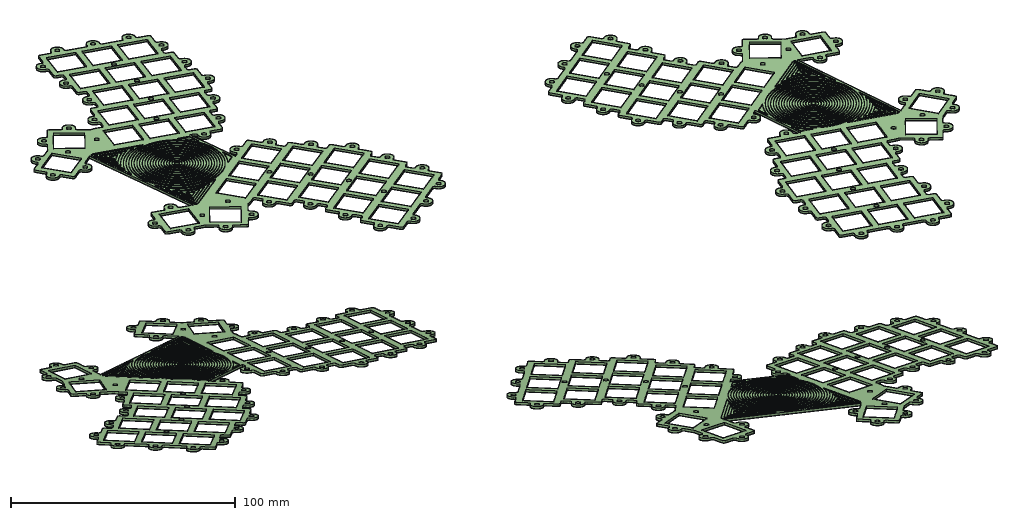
import cadquery as cq
import math

thickness = 1.2
tilt = 25.0
screw_diameter = 2.2
corner_radius = 1.0

key_hole = 14.0
key_pitch_x = 18.0
key_pitch_y = 17.0
row_count = 3
stagger = key_pitch_y / 4
column_steps = (-2, -1, 0, -1, -2)
grid_centre = (-56.96, 26.74)
rim = 1.2
frame_half_x = key_pitch_x / 2 + rim
frame_half_y = key_pitch_y / 2 + rim
column_half_y = row_count * key_pitch_y / 2 + rim

thumb_arc_centre = (-91.13, -74.68)
thumb_arc_radius = 60.0
thumb_step = 20.0
thumb_screws = [(-40.85, -22.7), (-41.85, -40.0)]

lug_radius = 3.0
lug_reach = 1.5
lug_x = frame_half_x + lug_reach
lug_y = frame_half_y + lug_reach

pad_centre = (0, -13.35)
pad_radius = 22.71
track = 1.2
groove_depth = 0.4
pad_corner_x = 33.8
ring_count = 9
corner_groove_count = 3


class Frame:
    """A place on the plate with its own axes, turned by an angle in degrees."""

    def __init__(self, centre, turn):
        self.centre = centre
        self.turn = turn

    def point(self, x, y):
        angle = math.radians(self.turn)
        return (
            self.centre[0] + x * math.cos(angle) - y * math.sin(angle),
            self.centre[1] + x * math.sin(angle) + y * math.cos(angle),
        )

    def corners(self, half_x, half_y):
        """Rectangle corners: lower left, lower right, upper right, upper left."""
        signs = [(-1, -1), (1, -1), (1, 1), (-1, 1)]
        return [self.point(sx * half_x, sy * half_y) for sx, sy in signs]


def grid_key(column, row):
    """Frame of a key; column 0 is the outermost and row 0 the top one."""
    x = (column - (len(column_steps) - 1) / 2) * key_pitch_x
    y = column_steps[column] * stagger + ((row_count - 1) / 2 - row) * key_pitch_y
    return Frame(Frame(grid_centre, -tilt).point(x, y), -tilt)


def thumb_key(number):
    turn = -tilt - number * thumb_step
    return Frame(Frame(thumb_arc_centre, turn).point(0, thumb_arc_radius), turn)


def midpoint(a, b):
    return ((a[0] + b[0]) / 2, (a[1] + b[1]) / 2)


def prism(points):
    return cq.Workplane("XY").polyline(points).close().extrude(thickness)


def discs(centres, radius):
    return cq.Workplane("XY").pushPoints(centres).circle(radius).extrude(thickness)


def both_hands(left):
    """Cutters of the left hand together with their mirror images."""
    return left.add(left.mirror("YZ"))


columns = [[grid_key(c, r) for r in range(row_count)] for c in range(len(column_steps))]
middle_row = [column[row_count // 2] for column in columns]
upper_thumb = thumb_key(1)
lower_thumb = thumb_key(2)


def lug_centres():
    above = [column[0].point(0, lug_y) for column in columns]
    below = [column[-1].point(0, -lug_y) for column in columns[:-1]]
    outside = [key.point(-lug_x, 0) for key in columns[0]]
    inside = [columns[-1][0].point(lug_x, 0)]
    upper = [upper_thumb.point(-lug_x, 0), upper_thumb.point(0, -lug_y)]
    lower = [lower_thumb.point(0, lug_y), lower_thumb.point(0, -lug_y), lower_thumb.point(lug_x, 0)]
    return above + below + outside + inside + upper + lower


def screw_centres():
    between_columns = [midpoint(a.centre, b.centre) for a, b in zip(middle_row, middle_row[1:])]
    return lug_centres() + between_columns + thumb_screws


def hand_plate():
    """Left plate: key columns, thumb keys, the web that joins them, and the lugs."""
    plate = discs(lug_centres(), lug_radius)
    for key in middle_row:
        plate = plate.union(prism(key.corners(frame_half_x, column_half_y)))
    for key in (upper_thumb, lower_thumb):
        plate = plate.union(prism(key.corners(frame_half_x, frame_half_y)))
    grid_end = columns[-1][-1].corners(frame_half_x, frame_half_y)
    upper = upper_thumb.corners(frame_half_x, frame_half_y)
    lower = lower_thumb.corners(frame_half_x, frame_half_y)
    web = [grid_end[0], grid_end[1], lower[3], lower[0], upper[0], upper[3]]
    return plate.union(prism(web))


def pad_side_distance():
    """Distance from the pad's centre to its slanted sides, which continue the innermost column's edge."""
    edge_x, edge_y = columns[-1][-1].point(frame_half_x, 0)
    lean = math.radians(tilt)
    return (pad_centre[0] - edge_x) * math.cos(lean) + (edge_y - pad_centre[1]) * math.sin(lean)


def trapezoid(inset):
    """Outline of the pad, shrunk by an inset, with the ends of its lower corners cut off."""
    lean = math.radians(tilt)
    half_height = pad_radius - inset
    middle_x = (pad_side_distance() - inset) / math.cos(lean)
    spread = half_height * math.tan(lean)
    corner_x = pad_corner_x - inset
    top = pad_centre[1] + half_height
    bottom = pad_centre[1] - half_height
    right = [(middle_x + spread, bottom), (middle_x - spread, top)]
    left = [(-x, y) for x, y in reversed(right)]
    limits = [(corner_x, bottom), (corner_x, top), (-corner_x, top), (-corner_x, bottom)]
    return prism(right + left).intersect(prism(limits))


def rounded_hand():
    """Left plate; growing its outline rounds the inner corners and shrinking it rounds the outer ones."""
    edge = hand_plate().faces("<Z").val().outerWire()
    grown = cq.Workplane("XY").add(edge).toPending().offset2D(corner_radius)
    shrunk = grown.offset2D(-2 * corner_radius)
    return shrunk.offset2D(corner_radius).extrude(thickness)


def outline():
    """Both hands and the pad between them, without openings."""
    hand = rounded_hand()
    return hand.union(hand.mirror("YZ")).union(trapezoid(0))


def key_openings():
    openings = cq.Workplane("XY")
    for key in sum(columns, [upper_thumb, lower_thumb]):
        openings = openings.add(prism(key.corners(key_hole / 2, key_hole / 2)))
    return both_hands(openings)


def corner_area(inset):
    """What the rings leave free in the corners of the pattern, shrunk by an inset."""
    return trapezoid(track + inset).cut(discs([pad_centre], pad_radius + inset))


def pad_grooves():
    """Concentric rings, and around them grooves that follow the corners of the pad."""
    grooves = cq.Workplane("XY")
    for i in range(ring_count):
        radius = pad_radius - (2 * i + 1) * track
        ring = discs([pad_centre], radius).cut(discs([pad_centre], radius - track))
        grooves = grooves.add(ring)
    for i in range(corner_groove_count):
        inset = 2 * i * track
        grooves = grooves.add(corner_area(inset).cut(corner_area(inset + track)))
    return grooves.translate((0, 0, thickness - groove_depth))


def cut_all(plate, tools):
    return plate.cut(cq.Workplane(cq.Compound.makeCompound(tools.vals())))


result = outline()
result = cut_all(result, key_openings())
result = cut_all(result, both_hands(discs(screw_centres(), screw_diameter / 2)))
result = cut_all(result, pad_grooves()).solids()